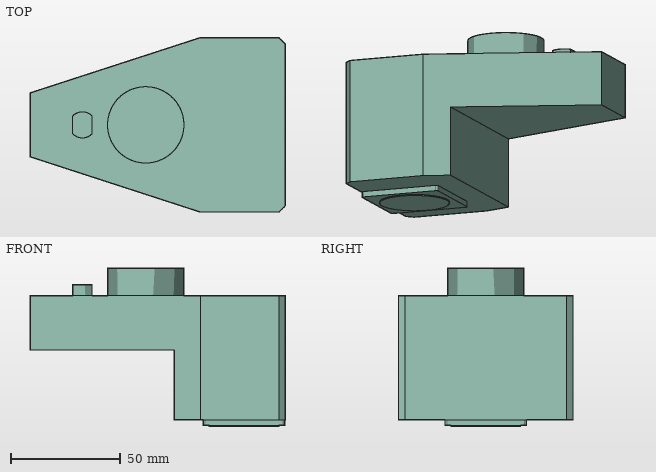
import cadquery as cq
import math

body_length = 117.0
body_width = 80.0
taper_length = 78.0
taper_angle = 18.0
nose_width = body_width - 2 * taper_length * math.tan(math.radians(taper_angle))
rear_chamfer = 3.0
body_height = 57.0

arm_thickness = 25.0
notch_length = 66.0

boss_diameter = 35.0
boss_height = 12.5
boss_x = 53.0

pin_diameter = 12.0
pin_flat_width = 9.0
pin_height = 5.0
pin_x = 24.0

pad_size = 37.5
pad_corner_radius = 1.0
pad_thickness = 2.5
pad_x = 98.0
disc_diameter = 32.0
disc_thickness = 0.5


def make_body():
    """Extrude the symmetric plan outline downward and cut the notch under the nose."""
    half_width = body_width / 2
    outline = (
        cq.Workplane("XY")
        .moveTo(0, 0)
        .lineTo(0, nose_width / 2)
        .lineTo(taper_length, half_width)
        .lineTo(body_length - rear_chamfer, half_width)
        .lineTo(body_length, half_width - rear_chamfer)
        .lineTo(body_length, 0)
        .mirrorX()
    )
    notch = (
        cq.Workplane("XY", origin=(0, 0, -body_height))
        .rect(2 * notch_length, body_width)
        .extrude(body_height - arm_thickness)
    )
    return outline.extrude(-body_height).cut(notch)


def make_boss():
    return cq.Workplane("XY").center(boss_x, 0).circle(boss_diameter / 2).extrude(boss_height)


def make_pin():
    """Intersect a round pin with a narrower block to form the two flats."""
    base = cq.Workplane("XY").center(pin_x, 0)
    round_pin = base.circle(pin_diameter / 2).extrude(pin_height)
    flats = base.rect(pin_flat_width, pin_diameter).extrude(pin_height)
    return round_pin.intersect(flats)


def make_pad():
    """Square pad with rounded vertical corners, carrying a thin disc underneath."""
    pad = (
        cq.Workplane("XY", origin=(pad_x, 0, -body_height))
        .rect(pad_size, pad_size)
        .extrude(-pad_thickness)
        .edges("|Z")
        .fillet(pad_corner_radius)
    )
    disc = (
        cq.Workplane("XY", origin=(pad_x, 0, -body_height - pad_thickness))
        .circle(disc_diameter / 2)
        .extrude(-disc_thickness)
    )
    return pad.union(disc)


result = make_body().union(make_boss()).union(make_pin()).union(make_pad())